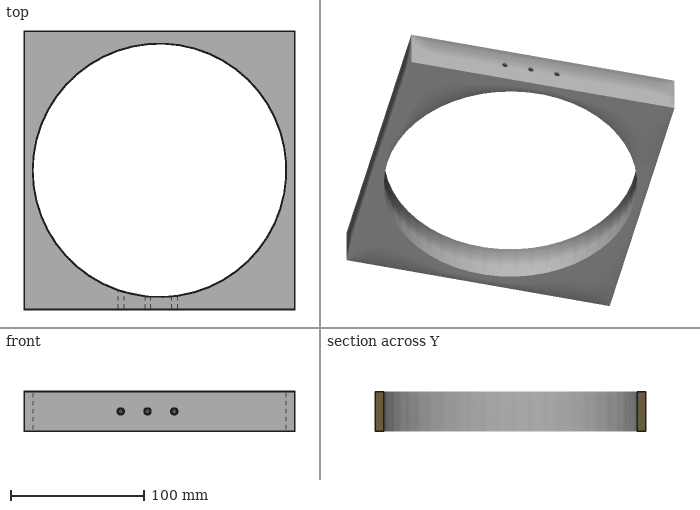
import cadquery as cq

width = 203.0
depth = 209
height = 30.0
bore_diameter = 190.0

hole_diameter = 4.2
hole_mouth_diameter = 5.0
hole_spacing = 20.0
middle_hole_x = -9.0
hole_count = 3


def make_frame():
    """Rectangular plate with a large round opening through its middle."""
    block = cq.Workplane("XY").box(width, depth, height)
    return block.faces(">Z").workplane().hole(bore_diameter)


def make_hole(x):
    """Hole along Y from the front face into the opening, with a 45 degree chamfered mouth."""
    hole_radius = hole_diameter / 2
    mouth_radius = hole_mouth_diameter / 2
    chamfer = mouth_radius - hole_radius
    front = -depth / 2
    profile = [
        (0, front),
        (mouth_radius, front),
        (hole_radius, front + chamfer),
        (hole_radius, 0),
        (0, 0),
    ]
    tool = cq.Workplane("XY").polyline(profile).close().revolve(360, (0, 0), (0, 1))
    return tool.translate((x, 0, 0))


result = make_frame()
first_hole_x = middle_hole_x - hole_spacing * (hole_count - 1) / 2
for i in range(hole_count):
    result = result.cut(make_hole(first_hole_x + i * hole_spacing))